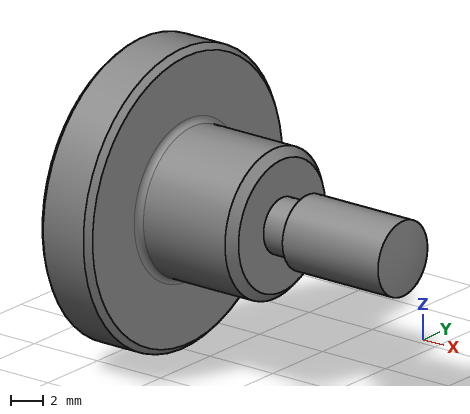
import cadquery as cq

total_length = 21.5
head_thickness = 4.0
hub_end = 11.5
neck_end = 13.5
dome_height = 0.4

head_diameter = 20.0
hub_diameter = 10.0
neck_diameter = 3.75
stud_diameter = 5.0

head_chamfer = 0.4
hub_chamfer = 0.6
hub_root_fillet = 0.4

head_radius = head_diameter / 2
hub_radius = hub_diameter / 2
neck_radius = neck_diameter / 2
stud_radius = stud_diameter / 2
dome_start = total_length - dome_height
dome_radius = (stud_radius**2 + dome_height**2) / (2 * dome_height)

profile = (
    cq.Workplane("XY")
    .moveTo(0, 0)
    .lineTo(0, head_radius - head_chamfer)
    .lineTo(head_chamfer, head_radius)
    .lineTo(head_thickness - head_chamfer, head_radius)
    .lineTo(head_thickness, head_radius - head_chamfer)
    .lineTo(head_thickness, hub_radius + hub_root_fillet)
    .radiusArc((head_thickness + hub_root_fillet, hub_radius), -hub_root_fillet)
    .lineTo(hub_end - hub_chamfer, hub_radius)
    .lineTo(hub_end, hub_radius - hub_chamfer)
    .lineTo(hub_end, neck_radius)
    .lineTo(neck_end, neck_radius)
    .lineTo(neck_end, stud_radius)
    .lineTo(dome_start, stud_radius)
    .radiusArc((total_length, 0), dome_radius)
    .close()
)

result = profile.revolve(360, (0, 0, 0), (1, 0, 0))